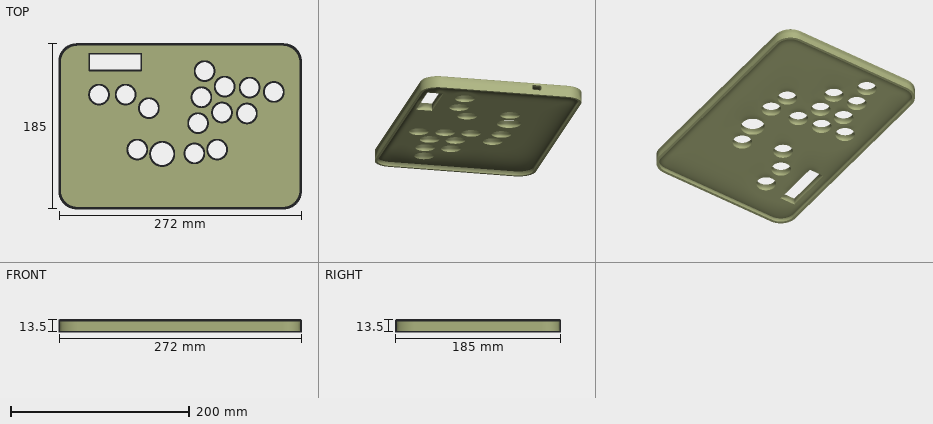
import cadquery as cq

length = 272.0
width = 185.0
thickness = 13.5
corner_radius = 20.0
top_chamfer = 1.0

recess_depth = 5.0
rim_width = 3.0

button_diameter = 22.0
large_button_diameter = 27.0
direction_buttons = [(-91.0, 35.5), (-61.2, 35.5), (-35.0, 20.5)]
action_buttons = [
    (27.5, 62.0), (50.0, 44.5), (78.0, 43.5), (105.3, 38.5),
    (24.0, 32.6), (47.0, 15.5), (75.0, 14.5), (20.0, 3.5),
]
thumb_buttons = [(-48.1, -26.0), (16.0, -30.5), (41.5, -26.0)]
large_button = (-20.0, -31.0)

window_length = 58.2
window_width = 18.5
window_center = (-73.0, 72.0)

port_width = 10.3
port_height = 5.7
port_corner_radius = 2.5 / 2
port_depth = 13.5
port_y = -37.0
port_z = 8.2


def make_plate():
    plate = cq.Workplane("XY").box(length, width, thickness, centered=(True, True, False))
    plate = plate.edges("|Z").fillet(corner_radius)
    return plate.faces(">Z").edges().chamfer(top_chamfer)


def make_recess():
    recess = cq.Workplane("XY").rect(length - 2 * rim_width, width - 2 * rim_width).extrude(recess_depth)
    return recess.edges("|Z").fillet(corner_radius - rim_width)


def make_holes(centers, diameter):
    return cq.Workplane("XY").pushPoints(centers).circle(diameter / 2).extrude(thickness)


def make_window():
    return cq.Workplane("XY").center(*window_center).rect(window_length, window_width).extrude(thickness)


def make_port():
    port = cq.Workplane("XY").box(port_depth, port_width, port_height, centered=(False, True, True))
    port = port.edges("|X").fillet(port_corner_radius)
    return port.translate((-length / 2, port_y, port_z))


result = (
    make_plate()
    .cut(make_recess())
    .cut(make_holes(direction_buttons + action_buttons + thumb_buttons, button_diameter))
    .cut(make_holes([large_button], large_button_diameter))
    .cut(make_window())
    .cut(make_port())
)